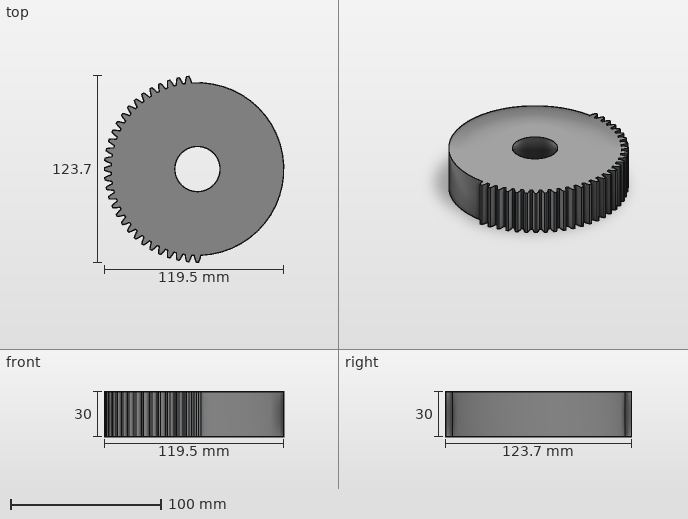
import cadquery as cq
import math

tip_radius = 62.0
thickness = 30.0
bore_diameter = 30.0
full_circle_teeth = 60
cut_teeth = full_circle_teeth // 2
last_tooth_angle = 270.0
pressure_angle = math.radians(20)
dedendum_factor = 1.25
flank_points = 6

module = 2 * tip_radius / (full_circle_teeth + 2)
pitch_radius = module * full_circle_teeth / 2
root_radius = pitch_radius - dedendum_factor * module
base_radius = pitch_radius * math.cos(pressure_angle)
tooth_pitch_angle = 360 / full_circle_teeth
root_overlap = 0.2 * module


def polar_point(radius, angle):
    return (radius * math.cos(angle), radius * math.sin(angle))


def involute_angle(radius):
    """Polar angle of the involute at a radius, measured from its start on the base circle."""
    roll = math.acos(base_radius / radius)
    return math.tan(roll) - roll


def half_tooth_angle(radius):
    """Half of the angle a tooth spans; at the pitch circle teeth and gaps are equal."""
    half_at_pitch = math.pi / (2 * full_circle_teeth)
    return half_at_pitch + involute_angle(pitch_radius) - involute_angle(radius)


def make_tooth():
    """One tooth centred on +X, with involute flanks and an arc tip."""
    step = (tip_radius - root_radius) / (flank_points - 1)
    radii = [root_radius + i * step for i in range(flank_points)]
    lower_flank = [polar_point(r, -half_tooth_angle(r)) for r in radii]
    upper_flank = [(x, -y) for x, y in reversed(lower_flank)]
    inner_x = root_radius - root_overlap
    root_half_width = upper_flank[-1][1]
    return (
        cq.Workplane("XY")
        .moveTo(inner_x, -root_half_width)
        .lineTo(*lower_flank[0])
        .spline(lower_flank[1:], includeCurrent=True)
        .threePointArc((tip_radius, 0), upper_flank[0])
        .spline(upper_flank[1:], includeCurrent=True)
        .lineTo(inner_x, root_half_width)
        .close()
        .extrude(thickness)
    )


disc = cq.Workplane("XY").circle(root_radius).extrude(thickness)
tooth = make_tooth()
teeth = [
    tooth.rotate((0, 0, 0), (0, 0, 1), last_tooth_angle - i * tooth_pitch_angle).val()
    for i in range(cut_teeth)
]
toothed_disc = cq.Workplane(disc.val().fuse(*teeth))

result = toothed_disc.faces(">Z").workplane(origin=(0, 0, thickness)).hole(bore_diameter)